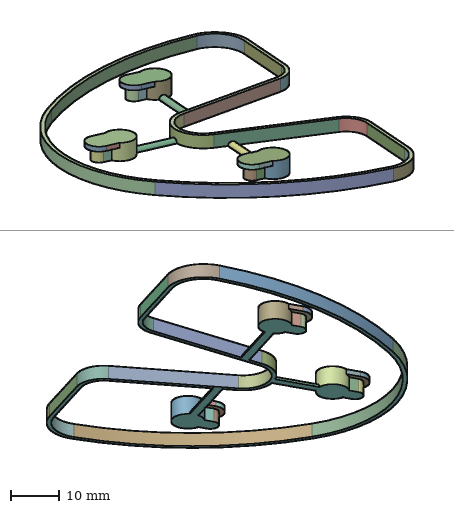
import cadquery as cq
import math


width = 81.9
depth = 64.5
ring_height = 3.0
wall = 1.0
front_radius = 29.9
side_radius = 72.9
corner_radius = 8.0
shoulder_radius = 6.0

notch_radius = 6.0
notch_tip_y = 28.5
notch_center_y = notch_tip_y + notch_radius
flank_angle = math.radians(12.5)

total_height = 4.2
plate_thickness = total_height - ring_height
head_radius = 3.5
plate_tail_radius = 3.0
foot_tail_radius = 1.8
tail_offset = 5.0
side_pad_x = 24.2
side_pad_y = 37.0
front_pad_y = 14.4

rod_radius = 1.0


def point_along(start, direction, distance):
    return (start[0] + distance * direction[0], start[1] + distance * direction[1])


def unit(start, end):
    length = math.dist(start, end)
    return ((end[0] - start[0]) / length, (end[1] - start[1]) / length)


def arc_middle(center, radius, start, end):
    """Middle of the minor arc from start to end."""
    chord_middle = ((start[0] + end[0]) / 2, (start[1] + end[1]) / 2)
    return point_along(center, unit(center, chord_middle), radius)


def side_arc_center(front_center, corner_center):
    """Center of the side arc that wraps the front arc and the corner arc, tangent to both."""
    front_reach = side_radius - front_radius
    corner_reach = side_radius - corner_radius
    spacing = math.dist(front_center, corner_center)
    along = (front_reach**2 - corner_reach**2 + spacing**2) / (2 * spacing)
    across = math.sqrt(front_reach**2 - along**2)
    toward_corner = unit(front_center, corner_center)
    inward = (-toward_corner[1], toward_corner[0])
    return point_along(point_along(front_center, toward_corner, along), inward, across)


def ring_outline():
    """Closed outer outline, drawn for X >= 0 and mirrored."""
    front_center = (0, front_radius)
    corner_center = (width / 2 - corner_radius, depth - corner_radius)
    side_center = side_arc_center(front_center, corner_center)
    notch_center = (0, notch_center_y)

    flank_direction = (math.sin(flank_angle), math.cos(flank_angle))
    flank_normal = (math.cos(flank_angle), -math.sin(flank_angle))
    flank_start = point_along(notch_center, flank_normal, notch_radius)
    shoulder_level = point_along(flank_start, flank_normal, shoulder_radius)
    shoulder_center_y = depth - shoulder_radius
    flank_length = (shoulder_center_y - shoulder_level[1]) / flank_direction[1]
    shoulder_center = point_along(shoulder_level, flank_direction, flank_length)

    front_tip = (0, 0)
    front_end = point_along(front_center, unit(side_center, front_center), front_radius)
    side_end = point_along(corner_center, unit(side_center, corner_center), corner_radius)
    corner_end = (corner_center[0], depth)
    shoulder_start = (shoulder_center[0], depth)
    flank_end = point_along(flank_start, flank_direction, flank_length)
    notch_tip = (0, notch_tip_y)

    return (
        cq.Workplane("XY")
        .moveTo(*front_tip)
        .threePointArc(arc_middle(front_center, front_radius, front_tip, front_end), front_end)
        .threePointArc(arc_middle(side_center, side_radius, front_end, side_end), side_end)
        .threePointArc(arc_middle(corner_center, corner_radius, side_end, corner_end), corner_end)
        .lineTo(*shoulder_start)
        .threePointArc(arc_middle(shoulder_center, shoulder_radius, shoulder_start, flank_end), flank_end)
        .lineTo(*flank_start)
        .threePointArc(arc_middle(notch_center, notch_radius, flank_start, notch_tip), notch_tip)
        .mirrorY()
    )


def make_ring():
    outer = ring_outline().extrude(ring_height)
    inner = ring_outline().offset2D(-wall).extrude(ring_height)
    return outer.cut(inner)


def keyhole(x, y, tail_radius, bottom, height):
    """Round head with a round-ended tail of the given radius pointing toward -Y."""
    base = cq.Workplane("XY", origin=(x, y, bottom))
    head = base.circle(head_radius).extrude(height)
    web = base.center(0, -tail_offset / 2).rect(2 * tail_radius, tail_offset).extrude(height)
    tail_end = base.center(0, -tail_offset).circle(tail_radius).extrude(height)
    return head.union(web).union(tail_end)


def make_pad(x, y):
    """Wide-tailed plate on top of a narrow-tailed foot."""
    foot = keyhole(x, y, foot_tail_radius, 0, total_height)
    plate = keyhole(x, y, plate_tail_radius, ring_height, plate_thickness)
    return foot.union(plate)


def make_rod(start, end):
    """Half-round rod between two points in plan, flat side down at Z = 0."""
    direction = (*unit(start, end), 0)
    plane = cq.Plane(origin=(*start, 0), xDir=(0, 0, 1), normal=direction)
    rod = cq.Workplane(plane).circle(rod_radius).extrude(math.dist(start, end))
    below_base = cq.Workplane("XY").rect(2 * width, 2 * depth).extrude(-rod_radius)
    return rod.cut(below_base)


flank_middle_x = (
    (notch_radius + wall / 2) / math.cos(flank_angle)
    + (side_pad_y - notch_center_y) * math.tan(flank_angle)
)

result = make_ring()
for side in (-1, 1):
    pad_center = (side * side_pad_x, side_pad_y)
    result = result.union(make_pad(*pad_center))
    result = result.union(make_rod(pad_center, (side * flank_middle_x, side_pad_y)))

result = result.union(make_pad(0, front_pad_y))
result = result.union(make_rod((0, front_pad_y), (0, notch_tip_y - wall / 2)))